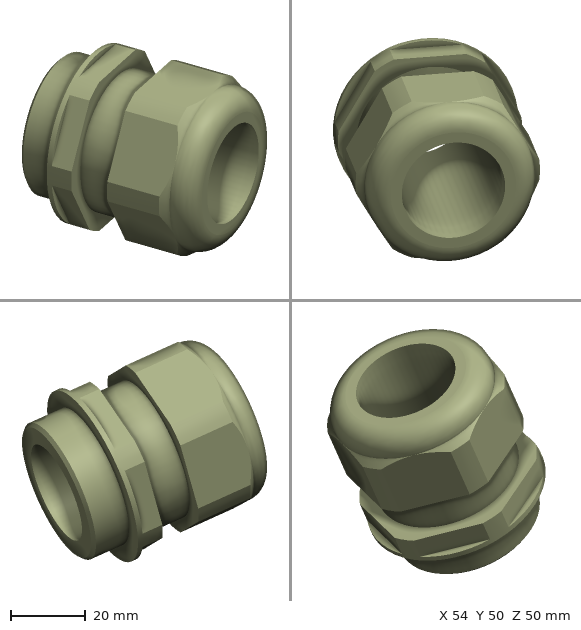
import cadquery as cq
import math


length = 54.0
entry_chamfer = 0.95
flange_start = 11.0
flange_end = 12.5
body_hex_end = 18.5
nut_start = 29.5
dome_start = 48.0

bore_diameter = 28.0
body_diameter = 39.95
flange_diameter = 50.0
across_flats = 46.0

nut_bevel_start = 45.4
nut_bevel_end = 47.5
nut_bevel_depth = (flange_diameter - across_flats) / 2

dome_radius = length - dome_start


def cylinder(start, end, diameter):
    """Round bar on the X axis between two stations."""
    return cq.Workplane("YZ").workplane(offset=start).circle(diameter / 2).extrude(end - start)


def hexagon(start, end):
    """Hexagonal bar with flats facing up and down and sharp corners on Y."""
    across_corners = across_flats / math.cos(math.pi / 6)
    return cq.Workplane("YZ").workplane(offset=start).polygon(6, across_corners).extrude(end - start)


body = cylinder(0, nut_bevel_end, body_diameter).faces("<X").chamfer(entry_chamfer)

flange = cylinder(flange_start, flange_end, flange_diameter)
body_hex = hexagon(flange_end, body_hex_end).intersect(
    cylinder(flange_end, body_hex_end, flange_diameter)
)

nut_envelope = cylinder(nut_start, nut_bevel_end, flange_diameter).faces(">X").chamfer(
    nut_bevel_end - nut_bevel_start, nut_bevel_depth
)
nut = hexagon(nut_start, nut_bevel_end).intersect(nut_envelope)

dome = cylinder(nut_bevel_end, length, across_flats).faces(">X").edges().fillet(dome_radius)

bore = cylinder(0, length, bore_diameter)

result = body.union(flange).union(body_hex).union(nut).union(dome).cut(bore)